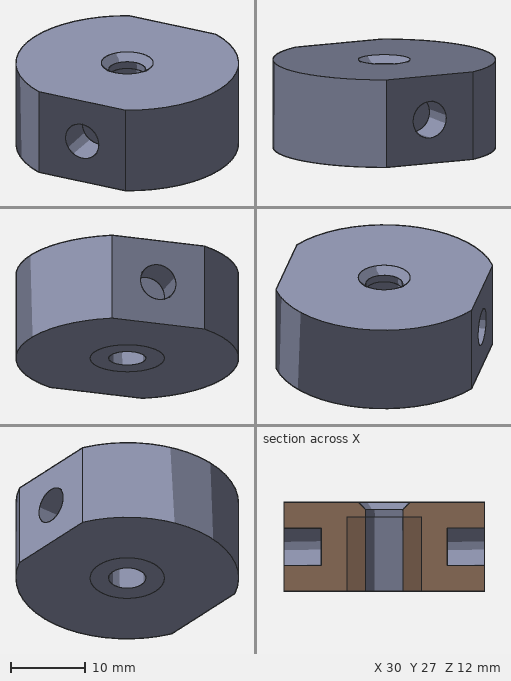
import cadquery as cq

disc_diameter = 30.0
width_across_flats = 27.0
height = 12.0

bore_diameter = 5.0
bore_chamfer = 1.0

cross_hole_diameter = 5.0
cross_hole_depth = 5.0

lip_thickness = 2.0
bushing_diameter = 10.0
bushing_height = height - lip_thickness


def make_disc_with_flats():
    disc = cq.Workplane("XY").circle(disc_diameter / 2).extrude(height)
    flats = cq.Workplane("XY").rect(disc_diameter, width_across_flats).extrude(height)
    return disc.intersect(flats)


def make_cross_hole(side):
    """Blind hole running inward from the flat on the given side of Y (+1 or -1)."""
    flat_center = cq.Vector(0, side * width_across_flats / 2, height / 2)
    inward = cq.Vector(0, -side, 0)
    return cq.Solid.makeCylinder(cross_hole_diameter / 2, cross_hole_depth, flat_center, inward)


def make_housing_bore():
    """Straight bore with a 45 degree countersink at the top face."""
    bore_radius = bore_diameter / 2
    bore = cq.Workplane("XY").circle(bore_radius).extrude(height)
    countersink = cq.Solid.makeCone(
        bore_radius,
        bore_radius + bore_chamfer,
        bore_chamfer,
        cq.Vector(0, 0, height - bore_chamfer),
    )
    return bore.union(cq.Workplane(countersink))


def make_housing():
    bushing_seat = cq.Workplane("XY").circle(bushing_diameter / 2).extrude(bushing_height)
    body = make_disc_with_flats().cut(make_housing_bore()).cut(bushing_seat)
    for side in (-1, 1):
        body = body.cut(cq.Workplane(make_cross_hole(side)))
    return body


def make_bushing():
    ring = cq.Workplane("XY").circle(bushing_diameter / 2).circle(bore_diameter / 2)
    return ring.extrude(bushing_height)


housing = make_housing()
bushing = make_bushing()

result = cq.Compound.makeCompound([housing.solids().val(), bushing.val()])